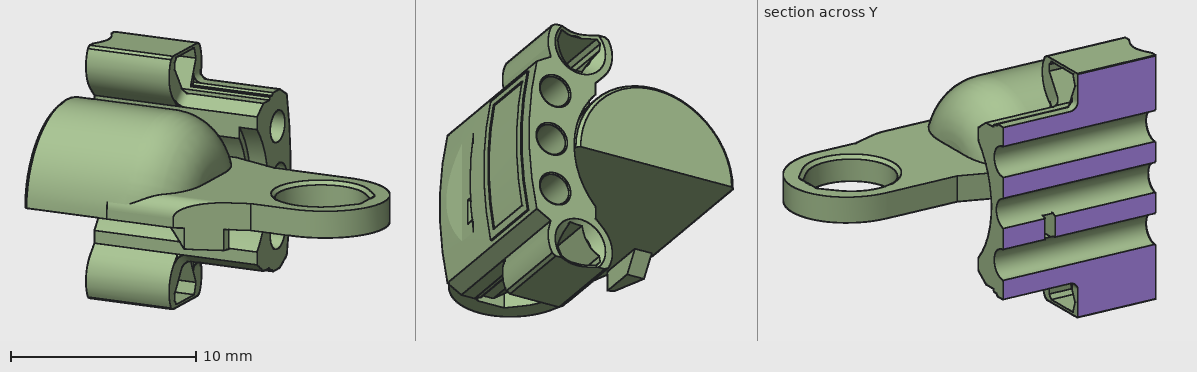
import cadquery as cq
import math

part_length = 19.3
half_height = 7.1
back_y = 7.97

plug_radius = 4.88
dome_radius = 2.97
plug_length = 9.01
plug_chamfer = 0.2

bracket_length = 9.8
frame_height = 0.08
bracket_back_y = back_y - frame_height
seat_gap = 0.21
seat_radius = plug_radius + seat_gap
lip_y = 3.76
lip_z = 4.15
lip_seat_z = math.sqrt(seat_radius**2 - lip_y**2)
groove_front_y, groove_front_z = 4.61, 4.75
groove_back_y, groove_back_z = 5.38, 4.88
groove_sag = 0.05
ledge_back_y = 5.6
flat_z = 5.02
flat_front_y, flat_back_y = 5.71, 6.55
back_corner_y, back_corner_z = 7.41, 4.52

web_start, web_end = 0.68, 8.75
web_drop = 0.17

lobe_length = 5.02
lobe_radius = 1.99
lobe_y, lobe_z = 4.7, 6.02
lobe_flat_half_width = 1.52
lobe_corner_drop = 0.14
lobe_back_drop = 0.39
root_radius = 0.48
pin_top_z, pin_top_half = 6.93, 1.08
pin_wide_z, pin_wide_half = 6.3, 1.3
pin_front_corner_z = 6.68
pin_base_z = 4.7
pin_base_front, pin_base_back = 0.21, 0.56
pin_mouth_radius = 1.56
pin_mouth_depth = 0.48
pin_mouth_end_radius = 0.96

wire_holes = [(6.48, 0.0), (6.27, 3.0), (6.27, -3.0)]
wire_radius = 0.89
wire_chamfer = 0.08

frame_start, frame_end = 0.8, 4.82
frame_half_height = 4.25
frame_width = 0.45
recess_start = 6.47
recess_floor_end = 7.72
recess_end = 9.07
recess_y = 7.68
recess_half_height = 3.09
window_width = 0.64
window_bottom, window_top = -2.22, -0.77

plate_thickness = 1.5
plate_start = lobe_length
plate_edge_radius = 0.98
eye_x = 15.52
eye_half_width = 3.5
taper_end = 13.0
eye_hole_radius = 2.49
eye_tip_reach = 2.6
eye_tip_half_width = 0.83
eye_chamfer = 0.21
back_taper_end = 10.96
taper_slope = (plug_radius - eye_half_width) / (taper_end - plug_length)

tab_depth = 1.18
tab_start, tab_end = 9.6, 11.75
tab_end_bevel = 0.14
tab_back_y = -3.63


def prism(outline, start, end):
    """Extrude a closed YZ outline along X."""
    return outline.extrude(end - start).translate((start, 0, 0))


def with_mirror(shape):
    """Add the copy of a shape mirrored through z = 0."""
    return shape.union(shape.mirror("XY"))


def make_plug():
    dome_start = plug_length - dome_radius
    shift = dome_radius * math.sqrt(0.5)
    half_section = (
        cq.Workplane("XY")
        .lineTo(0, plug_radius - plug_chamfer)
        .lineTo(plug_chamfer, plug_radius)
        .lineTo(dome_start, plug_radius)
        .threePointArc(
            (dome_start + shift, plug_radius - dome_radius + shift),
            (plug_length, plug_radius - dome_radius),
        )
        .lineTo(plug_length, 0)
        .close()
    )
    full = half_section.revolve(360, (0, 0, 0), (1, 0, 0))
    upper_half = cq.Workplane("XY").box(
        plug_length, 2 * plug_radius, plug_radius, centered=(False, True, False)
    )
    return full.intersect(upper_half)


def make_bracket_body():
    groove_middle_y = (groove_front_y + groove_back_y) / 2
    groove_middle_z = (groove_front_z + groove_back_z) / 2 - groove_sag
    outline = (
        cq.Workplane("YZ")
        .moveTo(lip_y, -lip_seat_z)
        .threePointArc((seat_radius, 0), (lip_y, lip_seat_z))
        .lineTo(lip_y, lip_z)
        .lineTo(groove_front_y, groove_front_z)
        .threePointArc((groove_middle_y, groove_middle_z), (groove_back_y, groove_back_z))
        .lineTo(ledge_back_y, groove_back_z)
        .lineTo(flat_front_y, flat_z)
        .lineTo(flat_back_y, flat_z)
        .lineTo(back_corner_y, back_corner_z)
        .threePointArc((bracket_back_y, 0), (back_corner_y, -back_corner_z))
        .lineTo(flat_back_y, -flat_z)
        .lineTo(flat_front_y, -flat_z)
        .lineTo(ledge_back_y, -groove_back_z)
        .lineTo(groove_back_y, -groove_back_z)
        .threePointArc((groove_middle_y, -groove_middle_z), (groove_front_y, -groove_front_z))
        .lineTo(lip_y, -lip_z)
        .close()
    )
    return prism(outline, 0, bracket_length)


def lobe_outline():
    """Circle with a chamfered flat on top and a 45 degree run down to the bracket lip."""
    corner_z = half_height - lobe_corner_drop
    corner_half = math.sqrt(lobe_radius**2 - (corner_z - lobe_z) ** 2)
    middle_angle = math.asin((corner_z - lobe_z) / lobe_radius) / 2
    tangent = lobe_radius * math.sqrt(0.5)
    return (
        cq.Workplane("YZ")
        .moveTo(lobe_y - lobe_flat_half_width, half_height)
        .lineTo(lobe_y - corner_half, corner_z)
        .threePointArc((lobe_y - lobe_radius, lobe_z), (lobe_y - tangent, lobe_z - tangent))
        .lineTo(lip_y, lip_z)
        .lineTo(flat_back_y, lip_z)
        .lineTo(flat_back_y, flat_z)
        .lineTo(lobe_y + lobe_radius, lobe_z - lobe_back_drop)
        .lineTo(lobe_y + lobe_radius, lobe_z)
        .threePointArc(
            (lobe_y + lobe_radius * math.cos(middle_angle), lobe_z + lobe_radius * math.sin(middle_angle)),
            (lobe_y + corner_half, corner_z),
        )
        .lineTo(lobe_y + lobe_flat_half_width, half_height)
        .close()
    )


def root_fillet(start, end):
    """Concave strip between the lobe end and the bracket face running from start to end in YZ."""
    run = cq.Vector(0, end[0] - start[0], end[1] - start[1])
    plane = cq.Plane((lobe_length, start[0], start[1]), xDir=(1, 0, 0), normal=run.toTuple())
    bow = root_radius * (1 - math.sqrt(0.5))
    return (
        cq.Workplane(plane)
        .lineTo(root_radius, 0)
        .threePointArc((bow, bow), (0, root_radius))
        .close()
        .extrude(run.Length)
    )


def make_lobe():
    lobe = prism(lobe_outline(), 0, lobe_length)
    fillets = root_fillet((flat_back_y, flat_z), (flat_front_y, flat_z)).union(
        root_fillet((groove_front_y, groove_front_z), (lip_y, lip_z))
    )
    return lobe.union(fillets.intersect(prism(lobe_outline(), 0, bracket_length)))


def make_pin_hole():
    """Seven-sided passage through the lobe with a conical mouth."""
    passage = (
        cq.Workplane("YZ")
        .polyline(
            [
                (lobe_y - pin_top_half, pin_top_z),
                (lobe_y - pin_wide_half, pin_front_corner_z),
                (lobe_y - pin_wide_half, pin_wide_z),
                (lobe_y - pin_base_front, pin_base_z),
                (lobe_y + pin_base_back, pin_base_z),
                (lobe_y + pin_wide_half, pin_wide_z),
                (lobe_y + pin_top_half, pin_top_z),
            ]
        )
        .close()
    )
    mouth = cq.Solid.makeCone(
        pin_mouth_radius,
        pin_mouth_end_radius,
        pin_mouth_depth,
        pnt=cq.Vector(0, lobe_y, lobe_z),
        dir=cq.Vector(1, 0, 0),
    )
    return prism(passage, 0, bracket_length).union(cq.Workplane(mouth))


def make_wire_holes():
    holes = cq.Workplane("YZ").pushPoints(wire_holes).circle(wire_radius).extrude(bracket_length)
    for y, z in wire_holes:
        mouth = cq.Solid.makeCone(
            wire_radius + wire_chamfer,
            wire_radius,
            wire_chamfer,
            pnt=cq.Vector(0, y, z),
            dir=cq.Vector(1, 0, 0),
        )
        holes = holes.union(cq.Workplane(mouth))
    return holes


def make_back_frame():
    """Thin rectangular frame that follows the curved back."""
    drop = bracket_back_y - back_corner_y
    back_radius = (back_corner_z**2 + drop**2) / (2 * drop)
    center_y = bracket_back_y - back_radius
    shell = (
        cq.Workplane("YZ")
        .center(center_y, 0)
        .circle(back_radius + frame_height)
        .circle(back_radius - frame_height)
        .extrude(bracket_length)
    )
    length = frame_end - frame_start
    height = 2 * frame_half_height
    border = (
        cq.Workplane("XZ", origin=((frame_start + frame_end) / 2, 0, 0))
        .rect(length, height)
        .rect(length - 2 * frame_width, height - 2 * frame_width)
        .extrude(-back_y)
    )
    return shell.intersect(border)


def make_latch_cut():
    """Ramped recess across the back and the window beside its steep wall."""
    recess = (
        cq.Workplane("XY")
        .polyline(
            [
                (recess_start, recess_y),
                (recess_floor_end, recess_y),
                (recess_end, bracket_back_y),
                (recess_end, back_y),
                (recess_start, back_y),
            ]
        )
        .close()
        .extrude(recess_half_height, both=True)
    )
    window = cq.Workplane("XY").box(
        window_width, back_y, window_top - window_bottom, centered=False
    )
    return recess.union(window.translate((recess_start, 0, window_bottom)))


def make_web():
    """Curved web filling the gap between the plug and its seat."""
    overlap = 0.02
    outer_radius = seat_radius + overlap
    length = web_end - web_start
    ring = cq.Workplane("YZ").circle(outer_radius).circle(plug_radius - plug_chamfer).extrude(length)
    behind = (
        cq.Workplane("YZ")
        .polyline(
            [
                (lip_y, 0),
                (plug_radius, 0),
                (outer_radius, -web_drop),
                (outer_radius, lip_seat_z),
                (lip_y, lip_seat_z),
            ]
        )
        .close()
        .extrude(length)
    )
    return ring.intersect(behind).translate((web_start, 0, 0))


def teardrop():
    """Circle whose +X side runs out along tangents to a flat tip."""
    tip_distance = math.hypot(eye_tip_reach, eye_tip_half_width)
    tip_angle = math.atan2(eye_tip_half_width, eye_tip_reach)
    tangent_angle = tip_angle + math.acos(eye_hole_radius / tip_distance)
    tangent_x = eye_hole_radius * math.cos(tangent_angle)
    tangent_y = eye_hole_radius * math.sin(tangent_angle)
    return (
        cq.Workplane("XY")
        .moveTo(tangent_x, tangent_y)
        .threePointArc((-eye_hole_radius, 0), (tangent_x, -tangent_y))
        .lineTo(eye_tip_reach, -eye_tip_half_width)
        .lineTo(eye_tip_reach, eye_tip_half_width)
        .close()
    )


def make_eye_hole():
    """Teardrop hole with a 45 degree chamfer on the upper face."""
    hole = teardrop().extrude(plate_thickness)
    mouth = teardrop().extrude(eye_chamfer, taper=-45).translate((0, 0, plate_thickness - eye_chamfer))
    return hole.union(mouth).translate((eye_x, 0, 0))


def make_plate():
    back_start_x = plug_length - dome_radius / 2
    back_start_y = eye_half_width + (back_taper_end - back_start_x) * taper_slope
    slab = (
        cq.Workplane("XY")
        .moveTo(plate_start, 0)
        .lineTo(plate_start, -plug_radius)
        .lineTo(plug_length, -plug_radius)
        .lineTo(taper_end, -eye_half_width)
        .lineTo(eye_x, -eye_half_width)
        .lineTo(eye_x, eye_half_width)
        .lineTo(back_taper_end, eye_half_width)
        .lineTo(back_start_x, back_start_y)
        .lineTo(back_start_x, 0)
        .close()
        .extrude(plate_thickness)
    )
    eye = (
        cq.Workplane("XY", origin=(eye_x, 0, 0))
        .ellipse(part_length - eye_x, eye_half_width)
        .extrude(plate_thickness)
    )
    rounded = (
        cq.Workplane("XY")
        .box(part_length, 2 * plug_radius, plate_thickness, centered=(False, True, False))
        .edges("|X and <Y and >Z")
        .fillet(plate_edge_radius)
    )
    return slab.union(eye).intersect(rounded).cut(make_eye_hole())


def make_tab():
    """Tab flush with the tapered edge, with a ramp down from the dome side."""

    def edge_y(x):
        return -plug_radius + (x - plug_length) * taper_slope

    front_end = tab_end - tab_end_bevel
    tab = (
        cq.Workplane("XY")
        .polyline(
            [
                (tab_start, edge_y(tab_start)),
                (front_end, edge_y(front_end)),
                (tab_end, tab_back_y),
                (tab_start, tab_back_y),
            ]
        )
        .close()
        .extrude(-tab_depth)
    )
    ramp = (
        cq.Workplane("XZ", origin=(0, tab_back_y, 0))
        .polyline([(web_end, 0), (tab_start, 0), (tab_start, -tab_depth)])
        .close()
        .extrude(tab_back_y - edge_y(tab_start))
    )
    return tab.union(ramp)


bracket = (
    make_bracket_body()
    .union(with_mirror(make_lobe()))
    .cut(with_mirror(make_pin_hole()))
    .cut(make_wire_holes())
    .cut(make_latch_cut())
    .union(make_back_frame())
)
result = bracket.union(make_web()).union(make_plug()).union(make_plate()).union(make_tab())